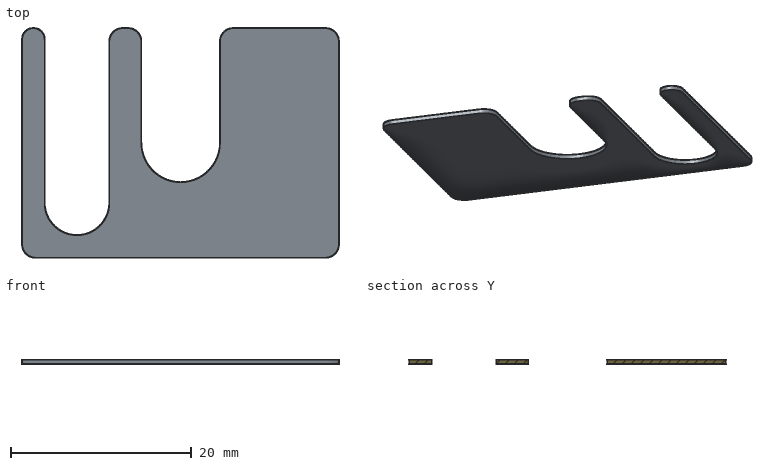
import cadquery as cq

length = 35.05
width = 25.4
thickness = 0.5
corner_radius = 1.5

narrow_slot_left = 2.52
narrow_slot_width = 7.1
narrow_slot_depth = 22.9
wide_slot_left = 13.2
wide_slot_width = 8.65
wide_slot_depth = 17.05

outer_finger_radius = narrow_slot_left / 2
narrow_slot_right = narrow_slot_left + narrow_slot_width
wide_slot_right = wide_slot_left + wide_slot_width
tip_fit = 0.999


def slot(left, slot_width, depth):
    """Slot open at the back edge with a full-round inner end."""
    radius = slot_width / 2
    center_y = width - depth + radius
    return (
        cq.Workplane("XY")
        .moveTo(left, width)
        .lineTo(left, center_y)
        .threePointArc((left + radius, center_y - radius), (left + slot_width, center_y))
        .lineTo(left + slot_width, width)
        .close()
        .extrude(thickness)
    )


def round_corners(body, points, radius):
    """Fillet the vertical edges that stand at the given XY points."""
    for x, y in points:
        edge = cq.selectors.NearestToPointSelector((x, y, thickness / 2))
        body = body.edges("|Z").edges(edge).fillet(radius)
    return body


plate = cq.Workplane("XY").box(length, width, thickness, centered=False)
plate = plate.cut(slot(narrow_slot_left, narrow_slot_width, narrow_slot_depth))
plate = plate.cut(slot(wide_slot_left, wide_slot_width, wide_slot_depth))

plate = round_corners(
    plate, [(0, 0), (length, 0), (length, width), (wide_slot_right, width)], corner_radius
)
plate = round_corners(plate, [(0, width), (narrow_slot_left, width)], outer_finger_radius * tip_fit)
plate = round_corners(plate, [(narrow_slot_right, width), (wide_slot_left, width)], corner_radius)

result = plate